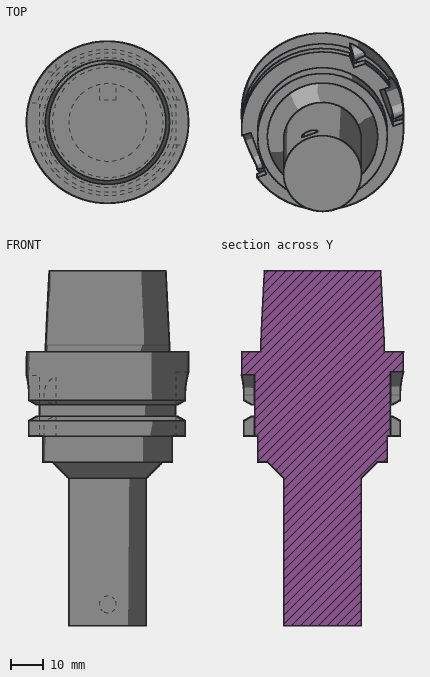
import cadquery as cq
import math

taper_length = 25.0
taper_collar_height = 2.1
flange_height = 26.0
hub_height = 8.0
neck_height = 5.0
shank_height = 45.5

flange_bottom = -flange_height
hub_bottom = flange_bottom - hub_height
neck_bottom = hub_bottom - neck_height
shank_bottom = neck_bottom - shank_height

taper_base_radius = 38.3 / 2
taper_ratio = 1 / 10
taper_top_radius = taper_base_radius - (taper_length - taper_collar_height) * taper_ratio / 2
flange_radius = 50.0 / 2
hub_radius = 40.0 / 2
shank_radius = 24.0 / 2
neck_top_radius = shank_radius + neck_height

groove_center = -18.125
groove_root_radius = 43.0 / 2
groove_root_half_width = 1.75
groove_flank_height = 1.4
groove_flank_angle = 30.0
groove_ledge_radius = flange_radius - groove_flank_height / math.tan(math.radians(groove_flank_angle))
groove_mouth_half_width = groove_root_half_width + groove_flank_height

narrow_slot_width = 12.0
wide_slot_width = 14.0
notch_width = narrow_slot_width
slot_arc_center = -13.2
slot_floor_distance = 21.0
notch_floor_distance = 15.9
notch_center_y = 21.5

screw_hole_diameter = 5.2
screw_hole_height = 6.7
screw_hole_depth = 5.0


def make_body():
    """Revolve the stepped outline, from taper to shank, about Z."""
    outline = [
        (0, taper_length),
        (taper_top_radius, taper_length),
        (taper_base_radius, taper_collar_height),
        (taper_base_radius, 0),
        (flange_radius, 0),
        (flange_radius, groove_center + groove_mouth_half_width),
        (groove_ledge_radius, groove_center + groove_root_half_width),
        (groove_root_radius, groove_center + groove_root_half_width),
        (groove_root_radius, groove_center - groove_root_half_width),
        (groove_ledge_radius, groove_center - groove_root_half_width),
        (flange_radius, groove_center - groove_mouth_half_width),
        (flange_radius, flange_bottom),
        (hub_radius, flange_bottom),
        (hub_radius, hub_bottom),
        (neck_top_radius, hub_bottom),
        (shank_radius, neck_bottom),
        (shank_radius, shank_bottom),
        (0, shank_bottom),
    ]
    return cq.Workplane("XZ").polyline(outline).close().revolve(360, (0, 0), (0, 1))


def make_slot_cutter(width, center_y, floor_distance):
    """Round-topped cutter on the -X side, open at the flange bottom, with a flat floor."""
    half_width = width / 2
    return (
        cq.Workplane("YZ", origin=(-floor_distance, center_y, 0))
        .moveTo(-half_width, flange_bottom)
        .lineTo(-half_width, slot_arc_center)
        .threePointArc((0, slot_arc_center + half_width), (half_width, slot_arc_center))
        .lineTo(half_width, flange_bottom)
        .close()
        .extrude(floor_distance - flange_radius)
    )


def make_screw_hole():
    """Blind radial hole entering the shank from the +Y side."""
    return (
        cq.Workplane("XZ", origin=(0, shank_radius, shank_bottom + screw_hole_height))
        .circle(screw_hole_diameter / 2)
        .extrude(screw_hole_depth)
    )


result = make_body()

narrow_slot = make_slot_cutter(narrow_slot_width, 0, slot_floor_distance)
wide_slot = make_slot_cutter(wide_slot_width, 0, slot_floor_distance).rotate((0, 0, 0), (0, 0, 1), 180)
notch = make_slot_cutter(notch_width, notch_center_y, notch_floor_distance)
for cutter in (narrow_slot, wide_slot, notch, make_screw_hole()):
    result = result.cut(cutter)